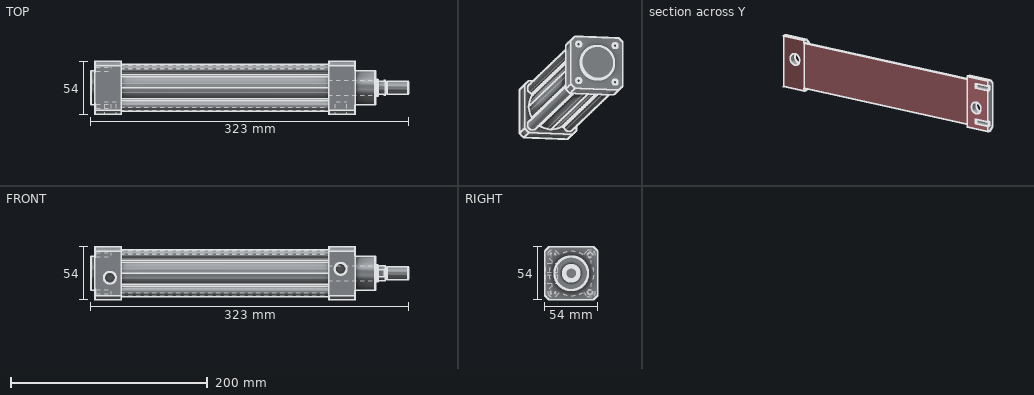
import cadquery as cq
import math


REAR_CAP_X = 4.2
BARREL_X = 31.0
FRONT_CAP_X = 242.0
FRONT_BOSS_X = 268.7
WIPER_X = 289.5
SHOULDER_X = 299.5
ROD_END_X = 323.0

CAP_SIDE = 54.0
CAP_CORNER_RADIUS = 35.2
BOSS_RADIUS = 17.5
EDGE_CHAMFER = 0.5
PORT_RADIUS = 5.8
PORT_CHAMFER = 0.5
PORT_DEPTH = 13.0
PORT_OFFSET_Z = 4.5
REAR_PORT_X = 19.5
FRONT_PORT_X = 254.0
SCREW_PITCH = 37.8
SCREW_RADIUS = 2.1
SCREW_DEPTH = 16.0
SCREW_CHAMFER = 0.8

WIPER_RADIUS = 8.7
WIPER_LENGTH = 2.5
WIPER_CHAMFER = 0.5

BARREL_RADIUS = 22.5
RIDGE_ANGLE = 11.3
EAR_RADIUS = 5.2
EAR_FLANK_ANGLE = 47.0
VALLEY_HALF_WIDTH = 11.3
FLANK_FOOT_HALF_WIDTH = 13.2
FLANK_FOOT_HEIGHT = 20.0

ROD_RADIUS = 7.8
FLAT_DISTANCE = 6.8
FLAT_END_X = 298.5
THREAD_RADIUS = 6.8
THREAD_CHAMFER = 1.0
RELIEF_LENGTH = 1.0


def cylinder(start_x, end_x, radius):
    """Cylinder on the X axis."""
    return cq.Workplane("YZ").workplane(offset=start_x).circle(radius).extrude(end_x - start_x)


def cap_block(start_x, end_x):
    """Square block whose four long corners are turned down about the axis."""
    block = cq.Workplane("YZ").workplane(offset=start_x).rect(CAP_SIDE, CAP_SIDE).extrude(end_x - start_x)
    return block.intersect(cylinder(start_x, end_x, CAP_CORNER_RADIUS))


def port(x, z):
    """Blind port with a chamfered mouth, cut into the -Y side."""
    face = cq.Workplane("XZ", origin=(x, -CAP_SIDE / 2, z))
    bore = face.circle(PORT_RADIUS).extrude(-PORT_DEPTH)
    mouth_radius = PORT_RADIUS + PORT_CHAMFER
    mouth = face.circle(mouth_radius).extrude(-PORT_CHAMFER, taper=45)
    return bore.union(mouth)


def make_rear_cap():
    """Cap with a centring boss, a port and four blind screw holes."""
    cap = cap_block(REAR_CAP_X, BARREL_X)
    boss = cylinder(0, REAR_CAP_X, BOSS_RADIUS).faces("<X").chamfer(EDGE_CHAMFER)
    cap = cap.union(boss).cut(port(REAR_PORT_X, -PORT_OFFSET_Z))
    cap_face = cq.Workplane("YZ").workplane(offset=REAR_CAP_X)
    screw_places = cap_face.rect(SCREW_PITCH, SCREW_PITCH, forConstruction=True).vertices()
    screw_holes = screw_places.circle(SCREW_RADIUS).extrude(SCREW_DEPTH)
    screw_mouths = screw_places.circle(SCREW_RADIUS + SCREW_CHAMFER).extrude(SCREW_CHAMFER, taper=45)
    return cap.cut(screw_holes).cut(screw_mouths)


def make_front_cap():
    """Cap with a long boss, a wiper ring, a port and a bore for the rod."""
    cap = cap_block(FRONT_CAP_X, FRONT_BOSS_X)
    boss = cylinder(FRONT_BOSS_X, WIPER_X, BOSS_RADIUS).faces(">X").chamfer(EDGE_CHAMFER)
    wiper_end = WIPER_X + WIPER_LENGTH
    wiper = cylinder(WIPER_X, wiper_end, WIPER_RADIUS).faces(">X").chamfer(WIPER_CHAMFER)
    rod_bore = cylinder(FRONT_CAP_X, wiper_end, ROD_RADIUS)
    return cap.union(boss).union(wiper).cut(port(FRONT_PORT_X, PORT_OFFSET_Z)).cut(rod_bore)


def polar(radius, degrees):
    """Point (y, z) at a distance and an angle from the axis."""
    angle = math.radians(degrees)
    return radius * math.cos(angle), radius * math.sin(angle)


def turned(point, degrees):
    """Point (y, z) turned about the axis."""
    angle = math.radians(degrees)
    y, z = point
    return y * math.cos(angle) - z * math.sin(angle), y * math.sin(angle) + z * math.cos(angle)


def make_barrel():
    """Solid extrusion: four ridged sides and a round ear at each corner."""
    ridge = (BARREL_RADIUS / math.cos(math.radians(RIDGE_ANGLE)), 0)
    arc_end_angle = math.degrees(math.asin(VALLEY_HALF_WIDTH / BARREL_RADIUS))
    flat_end = polar(BARREL_RADIUS, RIDGE_ANGLE)
    arc_middle = polar(BARREL_RADIUS, (RIDGE_ANGLE + arc_end_angle) / 2)
    arc_end = polar(BARREL_RADIUS, arc_end_angle)
    flank_foot = (FLANK_FOOT_HEIGHT, FLANK_FOOT_HALF_WIDTH)

    ear_centre = SCREW_PITCH / 2
    ear_y, ear_z = polar(EAR_RADIUS, -EAR_FLANK_ANGLE)
    ear_start = (ear_centre + ear_y, ear_centre + ear_z)
    ear_tip_offset = EAR_RADIUS * math.sqrt(0.5)
    ear_tip = (ear_centre + ear_tip_offset, ear_centre + ear_tip_offset)

    def mirrored(point):
        """Mirror across the corner's diagonal."""
        return point[1], point[0]

    profile = cq.Workplane("YZ").workplane(offset=BARREL_X).moveTo(*ridge)
    for quarter in (0, 90, 180, 270):
        def place(point):
            return turned(point, quarter)

        profile = (
            profile.lineTo(*place(flat_end))
            .threePointArc(place(arc_middle), place(arc_end))
            .lineTo(*place(flank_foot))
            .lineTo(*place(ear_start))
            .threePointArc(place(ear_tip), place(mirrored(ear_start)))
            .lineTo(*place(mirrored(flank_foot)))
            .lineTo(*place(mirrored(arc_end)))
            .threePointArc(place(mirrored(arc_middle)), place(mirrored(flat_end)))
            .lineTo(*place(mirrored(ridge)))
        )
    return profile.close().extrude(FRONT_CAP_X - BARREL_X)


def make_rod():
    """Rod through the front cap, with two wrench flats and a threaded end."""
    rod = cylinder(FRONT_CAP_X, SHOULDER_X, ROD_RADIUS)
    flat_start_x = WIPER_X + WIPER_LENGTH
    flat_length = FLAT_END_X - flat_start_x
    for side in (-1, 1):
        waste_y = side * (FLAT_DISTANCE + ROD_RADIUS / 2)
        waste = cq.Workplane("XY").box(flat_length, ROD_RADIUS, 2 * ROD_RADIUS)
        rod = rod.cut(waste.translate((flat_start_x + flat_length / 2, waste_y, 0)))
    thread_start_x = SHOULDER_X + RELIEF_LENGTH
    relief = cylinder(SHOULDER_X, thread_start_x, THREAD_RADIUS - THREAD_CHAMFER)
    thread = cylinder(thread_start_x, ROD_END_X, THREAD_RADIUS).faces("<X or >X").chamfer(THREAD_CHAMFER)
    return rod.union(relief).union(thread)


rear_cap = make_rear_cap()
barrel = make_barrel()
front_cap = make_front_cap()
rod = make_rod()

result = cq.Compound.makeCompound([rear_cap.val(), barrel.val(), front_cap.val(), rod.val()])